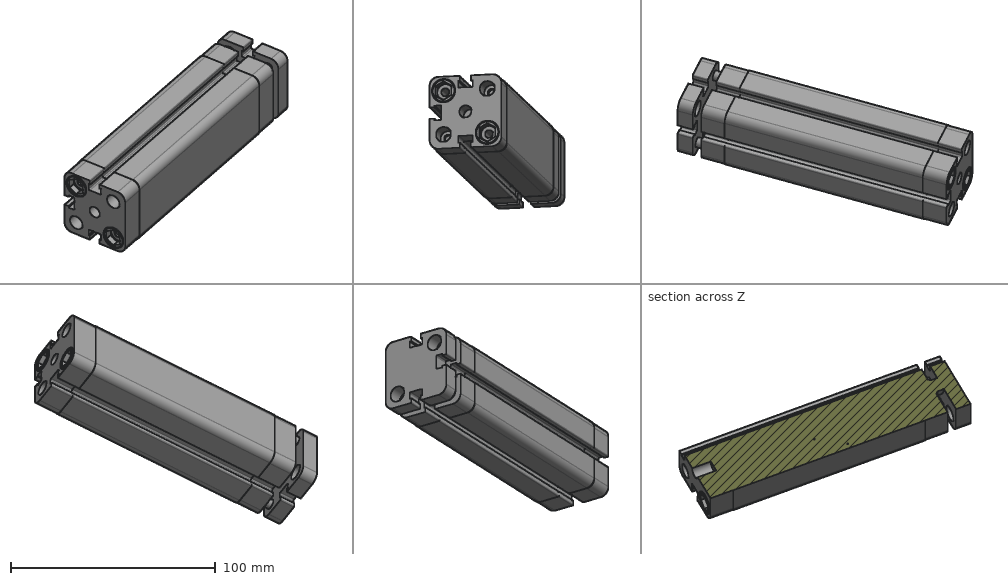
import cadquery as cq
import math


total_length = 140.5
plate_thickness = 8.0
rod_gap = 4.4
rear_cap_length = 12.2
front_cap_length = 12.4

front_y = -total_length / 2
plate_back_y = total_length / 2
plate_front_y = plate_back_y - plate_thickness
rear_cap_back_y = plate_front_y - rod_gap
rear_cap_front_y = rear_cap_back_y - rear_cap_length
front_cap_back_y = front_y + front_cap_length

cap_width = 36.0
cap_corner_radius = 4.5
barrel_width = 36.1
barrel_corner_radius = 4.2

slot_mouth_width = 5.6
slot_inner_width = 7.3
slot_lip = 2.5
slot_depth = 5.9
slot_floor_radius = 0.5
slot_mouth_radius = 0.35

piston_rod_diameter = 10.0
piston_rod_tip_radius = 1.4
piston_rod_flats = 8.0
piston_rod_flat_length = 3.4
guide_rod_diameter = 5.0
guide_rod_offset = 12.0

screw_offset = 11.0
bore_diameter = 4.0
thread_diameter = 7.5
thread_depth = 10.0
center_hole_diameter = 6.0
recess_diameter = 11.7
screw_head_diameter = 11.0
head_groove_depth = 0.35
hex_across_flats = 8.0
hex_depth = 3.5
hex_relief_diameter = 8.0
hex_relief_depth = 0.4
plate_hole_diameter = 8.0


def along_y(y_start):
    """XZ plane at y_start whose extrusions run toward +Y, with local x = X and local y = -Z."""
    return cq.Workplane(cq.Plane(origin=(0, y_start, 0), xDir=(1, 0, 0), normal=(0, 1, 0)))


def cylinder(x, z, diameter, y_start, y_end):
    return along_y(y_start).center(x, -z).circle(diameter / 2).extrude(y_end - y_start)


def slot_cutter(width, y_start, y_end):
    """T-slot with a rounded mouth in the top side of a section of the given width."""
    top = width / 2
    floor = top - slot_depth
    mouth = slot_mouth_width / 2
    flare = mouth + slot_mouth_radius
    flare_bottom = top - slot_mouth_radius
    arc_inset = slot_mouth_radius * (1 - math.sqrt(0.5))
    throat = (
        along_y(y_start)
        .moveTo(-flare, -top)
        .threePointArc((-mouth - arc_inset, -top + arc_inset), (-mouth, -flare_bottom))
        .lineTo(-mouth, -floor)
        .lineTo(mouth, -floor)
        .lineTo(mouth, -flare_bottom)
        .threePointArc((mouth + arc_inset, -top + arc_inset), (flare, -top))
        .close()
        .extrude(y_end - y_start)
    )
    inner_height = slot_depth - slot_lip
    pocket = along_y(y_start).center(0, -floor - inner_height / 2)
    pocket = pocket.rect(slot_inner_width, inner_height).extrude(y_end - y_start)
    pocket = pocket.edges("|Y and <Z").fillet(slot_floor_radius)
    return throat.union(pocket)


def section(width, corner_radius, y_start, y_end):
    """Rounded square bar with T-slots on the top, bottom and -X sides."""
    bar = along_y(y_start).rect(width, width).extrude(y_end - y_start)
    bar = bar.edges("|Y").fillet(corner_radius)
    slot = slot_cutter(width, y_start, y_end)
    for turn in (0, 180, -90):
        bar = bar.cut(slot.rotate((0, 0, 0), (0, 1, 0), turn))
    return bar


def piston_rod():
    """Rod with a rounded tip and two spanner flats that ramp out toward the cap."""
    rod_radius = piston_rod_diameter / 2
    flat = piston_rod_flats / 2
    ramp = rod_radius - flat
    flat_start_y = plate_front_y - piston_rod_flat_length
    rod = cylinder(0, 0, piston_rod_diameter, rear_cap_back_y, plate_front_y)
    rod = rod.faces(">Y").edges().fillet(piston_rod_tip_radius)
    for side in (-1, 1):
        flat_outline = [
            (side * flat, plate_front_y),
            (side * flat, flat_start_y),
            (side * rod_radius, flat_start_y - ramp),
            (side * rod_radius, plate_front_y),
        ]
        cutter = cq.Workplane("XY").polyline(flat_outline).close()
        rod = rod.cut(cutter.extrude(rod_radius, both=True))
    return rod


def screw_cutter(x, z):
    """Groove around the screw head, hex socket with a round relief, and a full-length bore."""
    groove = along_y(front_y).circle(recess_diameter / 2).circle(screw_head_diameter / 2)
    groove = groove.extrude(head_groove_depth)
    hex_diameter = hex_across_flats / math.cos(math.pi / 6)
    socket = along_y(front_y).polygon(6, hex_diameter).extrude(hex_depth)
    socket = socket.rotate((0, 0, 0), (0, 1, 0), 30)
    relief = cylinder(0, 0, hex_relief_diameter, front_y, front_y + hex_depth + hex_relief_depth)
    bore = cylinder(0, 0, bore_diameter, front_y, plate_back_y)
    return groove.union(socket).union(relief).union(bore).translate((x, 0, z))


result = section(cap_width, cap_corner_radius, front_y, front_cap_back_y)
result = result.union(section(barrel_width, barrel_corner_radius, front_cap_back_y, rear_cap_front_y))
result = result.union(section(cap_width, cap_corner_radius, rear_cap_front_y, rear_cap_back_y))
result = result.union(section(cap_width, cap_corner_radius, plate_front_y, plate_back_y))

result = result.union(piston_rod())
for corner in (-1, 1):
    offset = corner * guide_rod_offset
    result = result.union(cylinder(offset, offset, guide_rod_diameter, rear_cap_back_y, plate_front_y))

thread_end_y = front_y + thread_depth
result = result.cut(cylinder(0, 0, center_hole_diameter, front_y, thread_end_y))
for corner in (-1, 1):
    offset = corner * screw_offset
    result = result.cut(cylinder(offset, offset, thread_diameter, front_y, thread_end_y))
    result = result.cut(cylinder(offset, offset, bore_diameter, front_y, front_cap_back_y))

for corner in (-1, 1):
    offset = corner * screw_offset
    result = result.cut(screw_cutter(offset, -offset))
    result = result.cut(cylinder(offset, -offset, plate_hole_diameter, plate_front_y, plate_back_y))